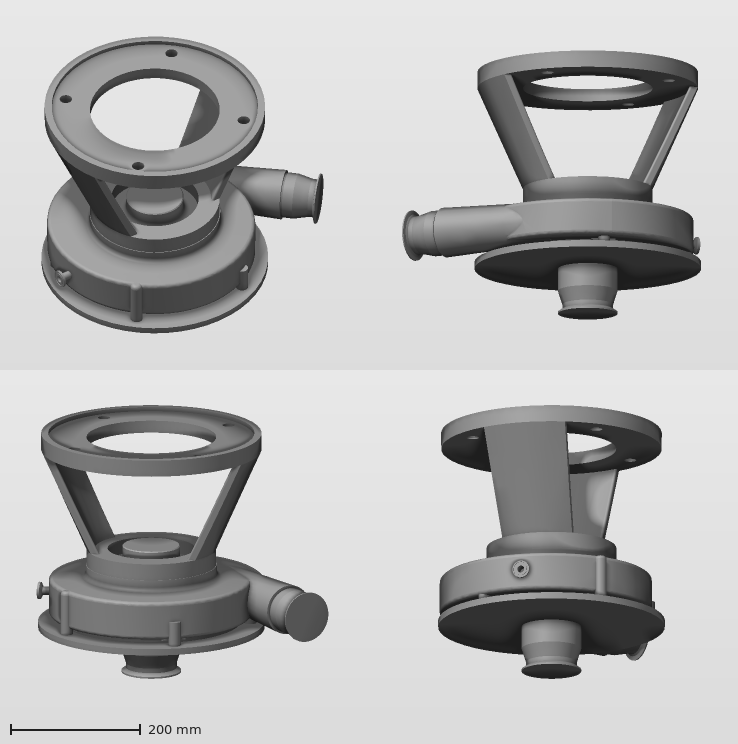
import cadquery as cq
import math


ring_radius = 170.0
ring_top = 261.4
ring_thickness = 25.5
ring_bottom = ring_top - ring_thickness
ring_bore_radius = 100.0
recess_radius = 159.0
recess_depth = 6.5
bolt_circle_radius = 139.5
bolt_hole_diameter = 19.0
bolt_count = 4
first_bolt_angle = 45.0

hub_radius = 100.0
hub_bore_radius = 67.5
hub_top = 78.0
hub_bottom = 52.7
collar_radius = 101.0
spigot_top = 55.6
collar_fillet = 7.0
shaft_radius = 44.5
shaft_top = 83.4
shaft_root_fillet = 10.0
shaft_top_chamfer = 1.5

arm_thickness = 13.0
arm_half_width_bottom = 55.8
arm_half_width_top = 64.7
arm_edge_fillet = 3.0
arm_end_margin = 1.0

volute_small_radius = 154.9
volute_large_radius = 174.4
volute_front_radius = 159.7
large_arc_start_angle = 174.0
large_arc_end_angle = 114.0
small_arc_start_angle = 97.0
tongue_angle = -45.0
rim_radius = 168.0
rim_top = 29.6
rim_bottom = -27.0
casing_slope = 0.08
rim_fillet = 6.0
volute_corner_fillet = 7.0

cover_radius = 140.0
cover_lip_radius = 138.0
cover_lip_top = -34.8
plate_radius = 174.76
plate_top = -37.5
plate_bottom = -47.6
post_count = 5
post_angle = -45.0
post_circle_radius = 153.0
post_radius = 9.4
tall_post_top = 31.0
tall_post_fillet = 6.0
tab_width = 37.5
tab_inner_radius = 130.0
tab_outer_radius = 146.0
tab_top = -28.5
tab_bottom = -31.5

inlet_radius = 46.0
inlet_neck_radius = 39.2
inlet_cylinder_end = -82.5
inlet_cone_end = -103.7
inlet_neck_end = -111.0
inlet_flange_start = -115.5
inlet_end = -118.1

outlet_angle = 45.0
outlet_offset = 139.5
pipe_start = -10.0
pipe_start_radius = 31.6
pipe_end_radius = 38.4
pipe_end = 176.4
pipe_groove_radius = 33.5
pipe_groove_width = 3.0
reducer_radius = 35.0
reducer_cone_start = 195.5
outlet_neck_radius = 29.5
outlet_neck_start = 218.5
outlet_flare_start = 225.5
outlet_flare_radius = 32.5
outlet_flare_end = 227.8
outlet_flange_start = 228.9
outlet_end = 230.95
outlet_flange_radius = 38.8
pipe_root_fillet = 4.0
pipe_root_middle = 34.0

drain_stem_radius = 6.5
drain_bore_radius = 5.4
drain_flange_radius = 13.3
drain_flare_start = 171.5
drain_flange_start = 175.0
drain_end = 178.6
drain_root = 150.0
drain_groove_inner_radius = 9.5
drain_groove_outer_radius = 11.5
drain_groove_depth = 1.0


def polar(radius, angle):
    a = math.radians(angle)
    return (radius * math.cos(a), radius * math.sin(a))


def disc(radius, bottom, top):
    return cq.Workplane("XY").workplane(offset=bottom).circle(radius).extrude(top - bottom)


def turned(profile):
    """Solid of revolution about Z from (radius, height) points."""
    return cq.Workplane("XZ").polyline(profile).close().revolve(360, (0, 0, 0), (0, 1, 0))


def mounting_ring():
    ring = disc(ring_radius, ring_bottom, ring_top)
    ring = ring.cut(disc(ring_bore_radius, ring_bottom, ring_top))
    ring = ring.cut(disc(recess_radius, ring_top - recess_depth, ring_top))
    hole_centres = [
        polar(bolt_circle_radius, first_bolt_angle + 360 / bolt_count * i) for i in range(bolt_count)
    ]
    holes = (
        cq.Workplane("XY")
        .workplane(offset=ring_bottom)
        .pushPoints(hole_centres)
        .circle(bolt_hole_diameter / 2)
        .extrude(ring_thickness)
    )
    return ring.cut(holes)


def arms():
    """Two opposite wedges of a conical shell, trimmed to a width that grows upward."""
    shell = turned([
        (hub_radius - arm_thickness, hub_top),
        (hub_radius, hub_top),
        (ring_radius, ring_bottom),
        (ring_radius - arm_thickness, ring_bottom),
    ])
    trim = (
        cq.Workplane("XZ")
        .polyline([
            (-arm_half_width_bottom, hub_top),
            (arm_half_width_bottom, hub_top),
            (arm_half_width_top, ring_bottom),
            (-arm_half_width_top, ring_bottom),
        ])
        .close()
        .extrude(ring_radius, both=True)
    )
    pair = shell.intersect(trim)
    middle_radius = (hub_radius + ring_radius - arm_thickness) / 2
    middle_half_width = (arm_half_width_bottom + arm_half_width_top) / 2
    middle_y = math.sqrt(middle_radius**2 - middle_half_width**2)
    inner_edges = cq.selectors.BoxSelector(
        (-arm_half_width_top, -middle_y, hub_top + arm_end_margin),
        (arm_half_width_top, middle_y, ring_bottom - arm_end_margin),
    )
    return pair.edges(inner_edges).fillet(arm_edge_fillet)


def casing_face_spread(radius):
    """Axial distance by which the sloping casing faces spread beyond the rim height."""
    return casing_slope * (rim_radius - radius)


def hub():
    return disc(hub_radius, hub_bottom, hub_top).cut(disc(hub_bore_radius, hub_bottom, hub_top))


def collar_and_shaft():
    """Turned collar carrying the shaft, with a cove at the shaft root and at the collar foot."""
    foot_radius = collar_radius + collar_fillet
    foot_height = rim_top + casing_face_spread(foot_radius)
    return (
        cq.Workplane("XZ")
        .moveTo(0, 0)
        .lineTo(foot_radius, 0)
        .lineTo(foot_radius, foot_height)
        .radiusArc((collar_radius, foot_height + collar_fillet), collar_fillet)
        .lineTo(collar_radius, hub_bottom)
        .lineTo(hub_bore_radius, hub_bottom)
        .lineTo(hub_bore_radius, spigot_top)
        .lineTo(shaft_radius + shaft_root_fillet, spigot_top)
        .radiusArc((shaft_radius, spigot_top + shaft_root_fillet), shaft_root_fillet)
        .lineTo(shaft_radius, shaft_top - shaft_top_chamfer)
        .lineTo(shaft_radius - shaft_top_chamfer, shaft_top)
        .lineTo(0, shaft_top)
        .close()
        .revolve(360, (0, 0, 0), (0, 1, 0))
    )


def casing():
    """Volute outline widening from the tongue to the outlet, between two shallow cones."""
    large_start = polar(volute_large_radius, large_arc_start_angle)
    large_middle = polar(volute_large_radius, (large_arc_start_angle + large_arc_end_angle) / 2)
    large_end = polar(volute_large_radius, large_arc_end_angle)
    small_start = polar(volute_small_radius, small_arc_start_angle)
    small_middle = polar(volute_small_radius, (small_arc_start_angle + tongue_angle) / 2)
    tongue = polar(volute_small_radius, tongue_angle)
    outline = (
        cq.Workplane("XY")
        .workplane(offset=plate_bottom)
        .moveTo(*tongue)
        .threePointArc(polar(volute_front_radius, -90), large_start)
        .threePointArc(large_middle, large_end)
        .lineTo(*small_start)
        .threePointArc(small_middle, tongue)
        .close()
        .extrude(hub_bottom - plate_bottom)
    )
    corner = cq.selectors.NearestToPointSelector((*large_end, 0))
    outline = outline.edges("|Z").edges(corner).fillet(volute_corner_fillet)
    reach = volute_large_radius + rim_fillet
    envelope = turned([
        (0, rim_bottom - casing_face_spread(0)),
        (reach, rim_bottom - casing_face_spread(reach)),
        (reach, rim_top + casing_face_spread(reach)),
        (0, rim_top + casing_face_spread(0)),
    ])
    body = outline.intersect(envelope)
    return body.edges("not(|Z)").fillet(rim_fillet)


def cover_and_plate():
    cover = disc(cover_radius, cover_lip_top, 0)
    lip = disc(cover_lip_radius, plate_top, cover_lip_top)
    return cover.union(lip).union(disc(plate_radius, plate_bottom, plate_top))


def posts():
    """Posts on the base plate, each with a tab beside it; the one at the tongue is tall."""
    tab_length = tab_outer_radius - tab_inner_radius
    tab = (
        cq.Workplane("XY")
        .box(tab_length, tab_width, tab_top - tab_bottom, centered=(False, True, False))
        .translate((tab_inner_radius, 0, tab_bottom))
    )
    short = disc(post_radius, plate_top, 0).translate((post_circle_radius, 0, 0))
    tall = disc(post_radius, plate_top, tall_post_top).faces(">Z").edges().fillet(tall_post_fillet)
    tall = tall.translate((post_circle_radius, 0, 0))
    group = None
    for i in range(post_count):
        post = (tall if i == 0 else short).union(tab)
        post = post.rotate((0, 0, 0), (0, 0, 1), post_angle + 360 / post_count * i)
        group = post if group is None else group.union(post)
    return group


def inlet():
    return turned([
        (0, plate_bottom),
        (inlet_radius, plate_bottom),
        (inlet_radius, inlet_cylinder_end),
        (inlet_neck_radius, inlet_cone_end),
        (inlet_neck_radius, inlet_neck_end),
        (inlet_radius, inlet_flange_start),
        (inlet_radius, inlet_end),
        (0, inlet_end),
    ])


def outlet():
    pipe = turned([
        (0, pipe_start),
        (pipe_start_radius, pipe_start),
        (pipe_end_radius, pipe_end),
        (pipe_groove_radius, pipe_end),
        (pipe_groove_radius, pipe_end + pipe_groove_width),
        (reducer_radius, pipe_end + pipe_groove_width),
        (reducer_radius, reducer_cone_start),
        (outlet_neck_radius, outlet_neck_start),
        (outlet_neck_radius, outlet_flare_start),
        (outlet_flare_radius, outlet_flare_end),
        (outlet_flange_radius, outlet_flange_start),
        (outlet_flange_radius, outlet_end),
        (0, outlet_end),
    ])
    pipe = pipe.rotate((0, 0, 0), (0, 1, 0), 90).translate((0, outlet_offset, 0))
    return pipe.rotate((0, 0, 0), (0, 0, 1), outlet_angle)


def casing_with_outlet():
    """Casing, collar and outlet joined, with a fillet along the V where the pipe breaks through the top."""
    body = casing().union(collar_and_shaft()).union(outlet())
    along = polar(pipe_root_middle, outlet_angle)
    across = polar(outlet_offset, outlet_angle + 90)
    root_point = (along[0] + across[0], along[1] + across[1], pipe_start_radius)
    root_edge = cq.selectors.NearestToPointSelector(root_point)
    return body.edges(root_edge).fillet(pipe_root_fillet)


def drain():
    nozzle = turned([
        (0, drain_root),
        (drain_stem_radius, drain_root),
        (drain_stem_radius, drain_flare_start),
        (drain_flange_radius, drain_flange_start),
        (drain_flange_radius, drain_end),
        (0, drain_end),
    ])
    groove = disc(drain_groove_outer_radius, drain_end - drain_groove_depth, drain_end)
    groove = groove.cut(disc(drain_groove_inner_radius, drain_end - drain_groove_depth, drain_end))
    nozzle = nozzle.cut(groove).cut(disc(drain_bore_radius, volute_front_radius, drain_end))
    return nozzle.rotate((0, 0, 0), (1, 0, 0), 90)


result = (
    casing_with_outlet()
    .union(cover_and_plate())
    .union(posts())
    .union(inlet())
    .union(drain())
    .union(hub())
    .union(arms())
    .union(mounting_ring())
)